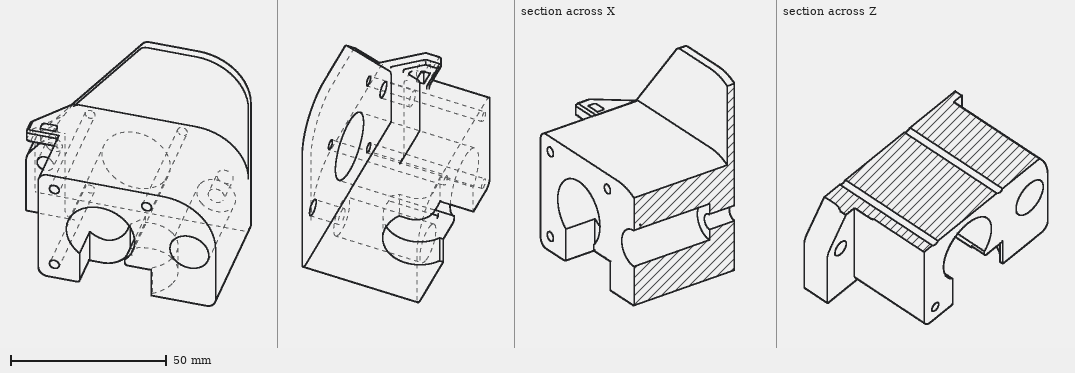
import cadquery as cq
import math


length = 72.7
depth = 40.3
height = 71.0

plate_thickness = 3.0
slope_left_height = 23.0
slope_top_x = 37.15
slope_top_radius = 3.0
slope_left_radius = 6.55
foot_radius = 0.5
large_radius = 17.5
small_radius = 3.1

block_left = 13.1
block_height = 42.0
block_width = length - block_left

flange_thickness = 10.0

bore_radius = 11.5
bore_x = 34.0
bore_z = block_height / 2
screw_pitch = 31.0
screw_diameter = 3.3

mount_diameter = 5.45
flange_hole_x = 6.5
block_hole_x = 63.9
counterbore_diameter = 13.1

opening_left = 27.0
opening_right = 51.0
opening_height = 10.6
opening_depth = 11.6
opening_foot_radius = 0.7
bore_side_right = 42.15
lip_length = 5.6
lip_radius = 1.0
chamber_radius = 12.0
chamber_x = 44.2
chamber_y = -29.1
guide_start_x = 31.2
guide_radius = 6.55

tab_left = 2.55
tab_right = block_left + 4.35
tab_tip_x = 13.5
tab_front = -19.0
tab_side_length = 5.75
tab_bottom = 35.55
tab_top = 40.6
tab_top_chamfer = 0.8
tab_bottom_chamfer = 1.15
tab_corner_radius = 1.15
tab_root_radius = 0.8
slot_left = 6.7
slot_front = -16.5
slot_length = 5.1
slot_width = 2.9
slot_corner_radius = 0.7

touch_tolerance = 0.001
pick_margin = 0.1


def vertical_block(x, y, z, size_x, size_y, size_z):
    """Box that grows from its lowest corner (x, y, z)."""
    return (
        cq.Workplane("XY", origin=(x, y, z))
        .rect(size_x, size_y, centered=False)
        .extrude(size_z)
    )


def edges_near(x, z):
    """Selector for edges along Y that pass through (x, z)."""
    return cq.selectors.BoxSelector(
        (x - pick_margin, -depth, z - pick_margin),
        (x + pick_margin, 0, z + pick_margin),
    )


def hole_along_y(x, z, diameter, start=0.0):
    """Cylinder from `start` in front of the rear face to the front of the part."""
    return (
        cq.Workplane("XZ", origin=(0, -start, 0))
        .center(x, z)
        .circle(diameter / 2)
        .extrude(depth - start)
    )


def make_plate(thickness):
    corners = [
        ((0, 0), foot_radius),
        ((length, 0), small_radius),
        ((length, height), large_radius),
        ((slope_top_x, height), slope_top_radius),
        ((0, slope_left_height), slope_left_radius),
    ]
    outline = [point for point, _ in corners]
    plate = cq.Workplane("XZ").polyline(outline).close().extrude(thickness)
    for (x, z), radius in corners:
        plate = plate.edges(edges_near(x, z)).fillet(radius)
    return plate


def make_block():
    block = vertical_block(block_left, -depth, 0, block_width, depth, block_height)
    block = block.edges("|Y and >X and >Z").fillet(large_radius)
    return block.edges("|Y").edges("<X or <Z").fillet(small_radius)


def make_flange():
    """Thicker stretch of the plate outline, reaching into the rounded side of the block."""
    limits = vertical_block(
        0,
        -flange_thickness,
        0,
        block_left + small_radius,
        flange_thickness,
        tab_top - tab_top_chamfer,
    )
    return make_plate(flange_thickness).intersect(limits)


def make_tab():
    """Chamfered tab whose right part is buried in the block."""
    outline = [
        (tab_left, tab_front),
        (tab_right, tab_front),
        (tab_right, 0),
        (tab_tip_x, 0),
        (tab_left, tab_front + tab_side_length),
    ]
    tab = (
        cq.Workplane("XY", origin=(0, 0, tab_bottom))
        .polyline(outline)
        .close()
        .extrude(tab_top - tab_bottom)
    )
    tab = tab.edges("|Z and <X").fillet(tab_corner_radius)
    tab = tab.faces(">Z").chamfer(tab_top_chamfer)
    return tab.faces("<Z").chamfer(tab_bottom_chamfer)


def join_tab(housing, tab):
    """Join the tab to the housing with a fillet where they meet, except at its front end."""
    tab_shell = tab.val().Shells()[0]
    housing_shell = housing.val().Shells()[0]
    root_front = tab_front + tab_top_chamfer / 4

    def is_root(edge):
        middle = edge.positionAt(0.5)
        point = cq.Vertex.makeVertex(*middle.toTuple())
        on_tab = tab_shell.distance(point) < touch_tolerance
        on_housing = housing_shell.distance(point) < touch_tolerance
        return on_tab and on_housing and middle.y > root_front

    return housing.union(tab).edges().filter(is_root).fillet(tab_root_radius)


def make_tab_slot():
    slot = vertical_block(slot_left, slot_front, 0, slot_length, slot_width, height)
    return slot.edges("|Z and >Y").fillet(slot_corner_radius)


def make_shelf(y_front, y_rear):
    """Solid kept above the opening, on the right of the bore."""
    return vertical_block(
        bore_side_right,
        y_front,
        opening_height,
        length - bore_side_right,
        y_rear - y_front,
        bore_z,
    )


def make_opening():
    """Notch from the front that leads into a round chamber, open downwards and into the bore."""
    notch_rear = opening_depth - depth
    notch = vertical_block(
        opening_left, -depth, 0, opening_right - opening_left, opening_depth, bore_z
    )

    guide_end_x = guide_start_x + guide_radius
    guide_end_y = chamber_y + math.sqrt(chamber_radius**2 - (guide_end_x - chamber_x) ** 2)
    guide = (
        cq.Workplane("XY")
        .moveTo(chamber_x, notch_rear)
        .lineTo(guide_start_x, notch_rear)
        .radiusArc((guide_end_x, notch_rear + guide_radius), -guide_radius)
        .lineTo(guide_end_x, guide_end_y)
        .lineTo(chamber_x, guide_end_y)
        .close()
        .extrude(bore_z)
    )
    right_of_guide = vertical_block(guide_end_x, -depth, 0, length, depth, bore_z)
    chamber = (
        cq.Workplane("XY")
        .center(chamber_x, chamber_y)
        .circle(chamber_radius)
        .extrude(bore_z)
        .intersect(right_of_guide)
    )

    lip_rear = lip_length - depth
    front_shelf = make_shelf(-depth, lip_rear).edges("|Y and <X and <Z").fillet(lip_radius)
    rear_shelf = make_shelf(lip_rear, 0)
    return notch.union(guide).union(chamber).cut(front_shelf).cut(rear_shelf)


housing = make_plate(plate_thickness).union(make_block()).union(make_flange())
result = join_tab(housing, make_tab())

result = result.cut(make_opening()).cut(make_tab_slot())
result = result.cut(hole_along_y(bore_x, bore_z, 2 * bore_radius))

for side_x, side_z in [(-1, -1), (-1, 1), (1, 1)]:
    screw_x = bore_x + side_x * screw_pitch / 2
    screw_z = bore_z + side_z * screw_pitch / 2
    result = result.cut(hole_along_y(screw_x, screw_z, screw_diameter))

for mount_x in (flange_hole_x, block_hole_x):
    result = result.cut(hole_along_y(mount_x, bore_z, mount_diameter))
result = result.cut(hole_along_y(block_hole_x, bore_z, counterbore_diameter, flange_thickness))

result = result.edges(edges_near(opening_left, 0)).fillet(opening_foot_radius)